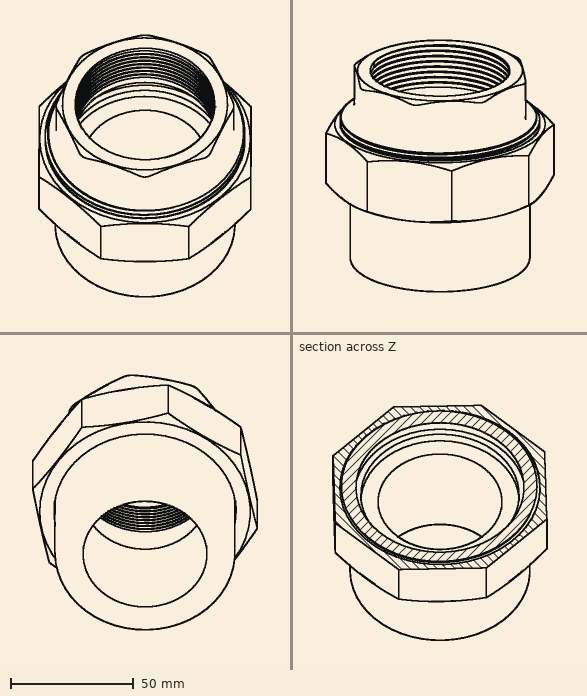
import cadquery as cq
import math

OVERALL_HEIGHT = 83.0
SIDES = 8
HALF_SIDE_ANGLE = 180 / SIDES

NUT_BOTTOM_Z = 33.15
NUT_LIP_TOP_Z = 37.5
GASKET_BOTTOM_Z = 45.0
GASKET_TOP_Z = 49.3
FLARE_BOTTOM_Z = 52.25
FLARE_TOP_Z = 62.5
NUT_TOP_Z = 59.5
COLLAR_TOP_Z = 62.8

THREAD_PITCH = 2.31
THREAD_ANGLE = 55.0
THREAD_ROOT_ROUNDING = 0.32
OUTER_THREAD_CREST_DIAMETER = 81.6
OUTER_THREAD_ROOT_DIAMETER = 78.6
OUTER_THREAD_START_Z = 47.5
OUTER_THREAD_START_ANGLE = 45.0
OUTER_THREAD_TURNS = 8
INNER_THREAD_CREST_DIAMETER = 56.9
INNER_THREAD_ROOT_DIAMETER = 59.65
INNER_THREAD_START_Z = 63.5
INNER_THREAD_START_ANGLE = 20.0
INNER_THREAD_TURNS = 8
THREAD_CUT_CLEARANCE = 0.1

BUSH_FLATS_WIDTH = 67.9
BUSH_CORNER_RADIUS = 6.1
BUSH_TOP_CIRCLE_DIAMETER = 67.4
BUSH_CHAMFER_ANGLE = 30.0
BUSH_BASE_FILLET = 2.5
BUSH_MOUTH_DIAMETER = 69.9
FLARE_UPPER_RADIUS = 8.4

NUT_CORNER_DIAMETER = 93.6
NUT_END_CIRCLE_DIAMETER = 86.0
NUT_CHAMFER_ANGLE = 30.0
NUT_LIP_DIAMETER = 74.35

TAIL_DIAMETER = 73.5
TAIL_BORE_DIAMETER = 50.6
TAIL_EDGE_FILLET = 1.0
FLANGE_DIAMETER = 78.0
GASKET_BORE_DIAMETER = 64.6


def tube(outer_diameter, inner_diameter, bottom_z, top_z):
    """A plain ring around Z."""
    ring = cq.Workplane("XY", origin=(0, 0, bottom_z)).circle(outer_diameter / 2).circle(inner_diameter / 2)
    return ring.extrude(top_z - bottom_z)


def end_cone(circle_diameter, angle, corner_diameter, end_z, far_z):
    """A solid of revolution that cuts chamfers on the corners at end_z when intersected with a prism."""
    reach = corner_diameter / 2 + 0.9
    drop = (reach - circle_diameter / 2) * math.tan(math.radians(angle))
    shoulder_z = end_z - math.copysign(drop, end_z - far_z)
    points = [(0, end_z), (circle_diameter / 2, end_z), (reach, shoulder_z), (reach, far_z), (0, far_z)]
    return cq.Workplane("XZ").polyline(points).close().revolve(360, (0, 0), (0, 1))


def groove_turns(crest_diameter, root_diameter, start_z, start_angle, turns):
    """One-turn helical groove cutters stacked end to end.

    The groove centre starts at start_z, at start_angle degrees from +X, and climbs counterclockwise.
    """
    crest_radius = crest_diameter / 2
    root_radius = root_diameter / 2
    outward = math.copysign(1, crest_radius - root_radius)
    mouth_radius = crest_radius + outward * THREAD_CUT_CLEARANCE
    flank_angle = math.radians(THREAD_ANGLE / 2)
    flank_start_radius = root_radius + outward * THREAD_ROOT_ROUNDING * (1 - math.sin(flank_angle))
    flank_start_half = THREAD_ROOT_ROUNDING * math.cos(flank_angle)
    half_mouth = flank_start_half + abs(mouth_radius - flank_start_radius) * math.tan(flank_angle)
    profile = (
        cq.Workplane("XZ")
        .moveTo(mouth_radius, outward * half_mouth)
        .lineTo(mouth_radius, -outward * half_mouth)
        .lineTo(flank_start_radius, -outward * flank_start_half)
        .threePointArc((root_radius, 0), (flank_start_radius, outward * flank_start_half))
        .close()
    )
    helix = cq.Workplane(cq.Wire.makeHelix(THREAD_PITCH, THREAD_PITCH, root_radius))
    turn = profile.sweep(helix, isFrenet=True).rotate((0, 0, 0), (0, 0, 1), start_angle).val()

    return [turn.translate(cq.Vector(0, 0, start_z + index * THREAD_PITCH)) for index in range(turns)]


def bush_bore():
    """The bore at thread crest size, opening to the mouth through an S of two tangent arcs."""
    bore_radius = INNER_THREAD_CREST_DIAMETER / 2
    mouth_radius = BUSH_MOUTH_DIAMETER / 2
    widening = mouth_radius - bore_radius
    drop = FLARE_TOP_Z - FLARE_BOTTOM_Z
    turn = 2 * math.atan(widening / drop)
    lower_radius = drop / math.sin(turn) - FLARE_UPPER_RADIUS

    def upper_point(angle):
        shift = FLARE_UPPER_RADIUS * (1 - math.cos(angle))
        return bore_radius + shift, FLARE_TOP_Z - FLARE_UPPER_RADIUS * math.sin(angle)

    def lower_point(angle):
        shift = lower_radius * (1 - math.cos(angle))
        return mouth_radius - shift, FLARE_BOTTOM_Z + lower_radius * math.sin(angle)

    outline = (
        cq.Workplane("XZ")
        .moveTo(0, OVERALL_HEIGHT)
        .lineTo(bore_radius, OVERALL_HEIGHT)
        .lineTo(bore_radius, FLARE_TOP_Z)
        .threePointArc(upper_point(turn / 2), upper_point(turn))
        .threePointArc(lower_point(turn / 2), (mouth_radius, FLARE_BOTTOM_Z))
        .lineTo(mouth_radius, GASKET_TOP_Z)
        .lineTo(0, GASKET_TOP_Z)
        .close()
    )
    return outline.revolve(360, (0, 0), (0, 1))


def make_bush():
    corner_diameter = BUSH_FLATS_WIDTH / math.cos(math.radians(HALF_SIDE_ANGLE))
    head = (
        cq.Workplane("XY", origin=(0, 0, COLLAR_TOP_Z))
        .polygon(SIDES, corner_diameter)
        .extrude(OVERALL_HEIGHT - COLLAR_TOP_Z)
        .rotate((0, 0, 0), (0, 0, 1), HALF_SIDE_ANGLE)
        .edges("|Z")
        .fillet(BUSH_CORNER_RADIUS)
    )
    head = head.intersect(
        end_cone(BUSH_TOP_CIRCLE_DIAMETER, BUSH_CHAMFER_ANGLE, corner_diameter, OVERALL_HEIGHT, COLLAR_TOP_Z)
    )
    collar = (
        cq.Workplane("XY", origin=(0, 0, GASKET_TOP_Z))
        .circle(OUTER_THREAD_CREST_DIAMETER / 2)
        .extrude(COLLAR_TOP_Z - GASKET_TOP_Z)
    )
    body = collar.union(head)
    around_head = cq.selectors.BoxSelector(
        (-corner_diameter / 2, -corner_diameter / 2, COLLAR_TOP_Z - 0.1),
        (corner_diameter / 2, corner_diameter / 2, COLLAR_TOP_Z + 0.1),
    )
    collar_rim = cq.selectors.RadiusNthSelector(-1)
    body = body.edges(around_head - collar_rim).fillet(BUSH_BASE_FILLET)
    body = body.cut(bush_bore())
    outer_turns = groove_turns(
        OUTER_THREAD_CREST_DIAMETER, OUTER_THREAD_ROOT_DIAMETER, OUTER_THREAD_START_Z, OUTER_THREAD_START_ANGLE,
        OUTER_THREAD_TURNS,
    )
    inner_turns = groove_turns(
        INNER_THREAD_CREST_DIAMETER, INNER_THREAD_ROOT_DIAMETER, INNER_THREAD_START_Z, INNER_THREAD_START_ANGLE,
        INNER_THREAD_TURNS,
    )
    return cq.Workplane(body.val().cut(*outer_turns, *inner_turns))


def make_nut():
    """Octagonal nut with chamfered corners at both ends and a lip under the tail flange."""
    blank = (
        cq.Workplane("XY", origin=(0, 0, NUT_BOTTOM_Z))
        .polygon(SIDES, NUT_CORNER_DIAMETER)
        .extrude(NUT_TOP_Z - NUT_BOTTOM_Z)
    )
    for end_z, far_z in [(NUT_TOP_Z, NUT_BOTTOM_Z), (NUT_BOTTOM_Z, NUT_TOP_Z)]:
        blank = blank.intersect(
            end_cone(NUT_END_CIRCLE_DIAMETER, NUT_CHAMFER_ANGLE, NUT_CORNER_DIAMETER, end_z, far_z)
        )
    chamber = (
        cq.Workplane("XY", origin=(0, 0, NUT_LIP_TOP_Z))
        .circle(OUTER_THREAD_CREST_DIAMETER / 2)
        .extrude(NUT_TOP_Z - NUT_LIP_TOP_Z)
    )
    return blank.cut(chamber).faces("<Z").workplane().hole(NUT_LIP_DIAMETER)


def make_tail():
    """Spigot with a flange that sits on the nut lip and carries the gasket."""
    spigot = (
        cq.Workplane("XY")
        .circle(TAIL_DIAMETER / 2)
        .extrude(GASKET_BOTTOM_Z)
        .faces("<Z")
        .edges()
        .fillet(TAIL_EDGE_FILLET)
    )
    flange = tube(FLANGE_DIAMETER, TAIL_BORE_DIAMETER, NUT_LIP_TOP_Z, GASKET_BOTTOM_Z)
    return spigot.union(flange).faces(">Z").workplane().hole(TAIL_BORE_DIAMETER)


def make_gasket():
    return tube(FLANGE_DIAMETER, GASKET_BORE_DIAMETER, GASKET_BOTTOM_Z, GASKET_TOP_Z)


bush = make_bush()
nut = make_nut()
tail = make_tail()
gasket = make_gasket()
result = cq.Compound.makeCompound([body.solids().val() for body in (bush, nut, tail, gasket)])